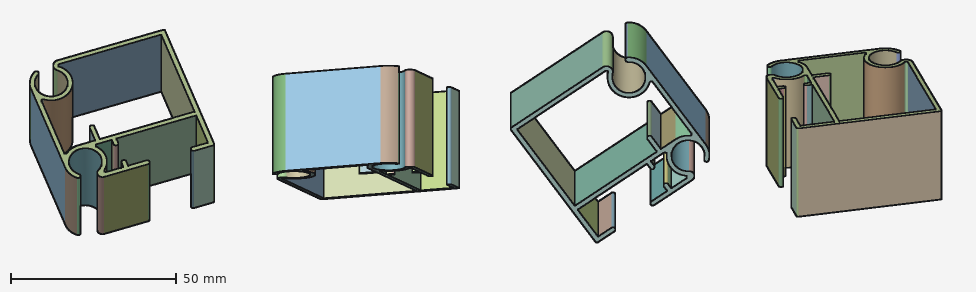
import cadquery as cq
import math

size = 45.5
height = 30.0

wall = 1.5
top_wall = 1.65
fillet_radius = 0.5
corner_radius = 0.55
end_radius = wall / 2

bore_radius = 5.0
tube_radius = bore_radius + wall
tube_y = tube_radius
left_tube = (7.3, tube_y)
web_left = 31.8
web_right = web_left + wall
right_tube = (web_left + tube_radius, tube_y)
left_tip_angle = 212.0
right_tip_angle = -42.0

right_wall_inner = size - wall
right_wall_top = 24.85
top_lip_bottom = 38.15
short_rib_y = 17.45
left_rib_end = 35.75
right_rib_end = 41.55
long_rib_y = 12.7
long_rib_end = 26.1
right_lip_radius = 1.6


def polar(center, radius, angle):
    """Point at an angle in degrees on a circle."""
    radians = math.radians(angle)
    return (center[0] + radius * math.cos(radians), center[1] + radius * math.sin(radians))


def arc(path, center, radius, start_angle, end_angle):
    """Continue a path along a circle; a falling angle runs clockwise."""
    middle = polar(center, radius, (start_angle + end_angle) / 2)
    return path.threePointArc(middle, polar(center, radius, end_angle))


def other_leg(hypotenuse, leg):
    return math.sqrt(hypotenuse**2 - leg**2)


def angle_between(start, end):
    return math.degrees(math.atan2(end[1] - start[1], end[0] - start[0]))


def tangent_center(tube, x, distance):
    """Point above a tube, at a given x and distance from the tube center."""
    return (x, tube[1] + other_leg(distance, x - tube[0]))


fillet_distance = tube_radius + fillet_radius
left_fillet = tangent_center(left_tube, wall + fillet_radius, fillet_distance)
web_fillet = tangent_center(right_tube, web_right + fillet_radius, fillet_distance)
right_fillet = tangent_center(right_tube, right_wall_inner - fillet_radius, fillet_distance)
floor_fillet_y = wall + fillet_radius
floor_fillet_offset = other_leg(fillet_distance, tube_y - floor_fillet_y)
floor_left_fillet = (left_tube[0] + floor_fillet_offset, floor_fillet_y)
floor_right_fillet = (right_tube[0] - floor_fillet_offset, floor_fillet_y)

left_lip_radius = wall + fillet_radius
right_lip = tangent_center(right_tube, size - right_lip_radius, bore_radius + right_lip_radius)

left_fillet_angle = angle_between(left_tube, left_fillet)
web_fillet_angle = angle_between(right_tube, web_fillet)
right_fillet_angle = angle_between(right_tube, right_fillet)
right_lip_angle = angle_between(right_tube, right_lip)
floor_left_angle = angle_between(left_tube, floor_left_fillet)
floor_right_angle = angle_between(floor_right_fillet, right_tube) - 180


def outer_profile():
    """Outside of the section, counterclockwise, including the open side channel."""
    tip_distance = bore_radius + end_radius
    left_tip = polar(left_tube, tip_distance, left_tip_angle)
    right_tip = polar(right_tube, tip_distance, right_tip_angle)
    rib_top = short_rib_y + end_radius
    rib_bottom = short_rib_y - end_radius
    top_inner = size - top_wall
    wall_middle = size - end_radius

    path = cq.Workplane("XY").moveTo(left_tube[0], 0).lineTo(right_tube[0], 0)
    path = arc(path, right_tube, tube_radius, -90, right_tip_angle)
    path = arc(path, right_tip, end_radius, right_tip_angle, right_tip_angle + 180)
    path = arc(path, right_tube, bore_radius, right_tip_angle, right_lip_angle - 360)
    path = arc(path, right_lip, right_lip_radius, right_lip_angle + 180, 360)

    right_end = (wall_middle, right_wall_top - end_radius)
    path = path.lineTo(size, right_end[1])
    path = arc(path, right_end, end_radius, 0, 180)
    path = path.lineTo(right_wall_inner, rib_top).lineTo(right_rib_end + end_radius, rib_top)
    path = arc(path, (right_rib_end + end_radius, short_rib_y), end_radius, 90, 270)
    path = path.lineTo(right_wall_inner, rib_bottom).lineTo(right_wall_inner, right_fillet[1])

    path = arc(path, right_fillet, fillet_radius, 0, right_fillet_angle - 180)
    path = arc(path, right_tube, tube_radius, right_fillet_angle, web_fillet_angle)
    path = arc(path, web_fillet, fillet_radius, web_fillet_angle - 180, -180)
    path = path.lineTo(web_right, rib_bottom).lineTo(left_rib_end - end_radius, rib_bottom)
    path = arc(path, (left_rib_end - end_radius, short_rib_y), end_radius, -90, 90)
    path = path.lineTo(web_right, rib_top).lineTo(web_right, top_inner)

    top_lip_end = (wall_middle, top_lip_bottom + end_radius)
    path = path.lineTo(right_wall_inner, top_inner).lineTo(right_wall_inner, top_lip_end[1])
    path = arc(path, top_lip_end, end_radius, 180, 360)
    corner_y = size - corner_radius
    path = path.lineTo(size, corner_y)
    path = arc(path, (size - corner_radius, corner_y), corner_radius, 0, 90)
    path = path.lineTo(corner_radius, size)
    path = arc(path, (corner_radius, corner_y), corner_radius, 90, 180)

    path = path.lineTo(0, left_fillet[1])
    path = arc(path, left_fillet, left_lip_radius, 180, left_fillet_angle + 180)
    path = arc(path, left_tube, bore_radius, left_fillet_angle, left_tip_angle - 360)
    path = arc(path, left_tip, end_radius, left_tip_angle - 180, left_tip_angle)
    path = arc(path, left_tube, tube_radius, left_tip_angle, 270)
    return path.close()


def main_cell():
    """Closed cell left of the web, clockwise from its top left corner."""
    top_inner = size - top_wall
    rib_center = (long_rib_end + end_radius, long_rib_y)
    rib_top = long_rib_y + end_radius
    rib_bottom = long_rib_y - end_radius

    path = cq.Workplane("XY").moveTo(wall, top_inner).lineTo(web_left, top_inner)
    path = path.lineTo(web_left, rib_top).lineTo(rib_center[0], rib_top)
    path = arc(path, rib_center, end_radius, 90, 270)
    path = path.lineTo(web_left, rib_bottom).lineTo(web_left, tube_y)
    path = arc(path, right_tube, tube_radius, 180, floor_right_angle + 360)
    path = arc(path, floor_right_fillet, fillet_radius, floor_right_angle + 180, -90)
    path = path.lineTo(floor_left_fillet[0], wall)
    path = arc(path, floor_left_fillet, fillet_radius, 270, floor_left_angle + 180)
    path = arc(path, left_tube, tube_radius, floor_left_angle, left_fillet_angle)
    path = arc(path, left_fillet, fillet_radius, left_fillet_angle - 180, -180)
    return path.close()


result = outer_profile().extrude(height).cut(main_cell().extrude(height))